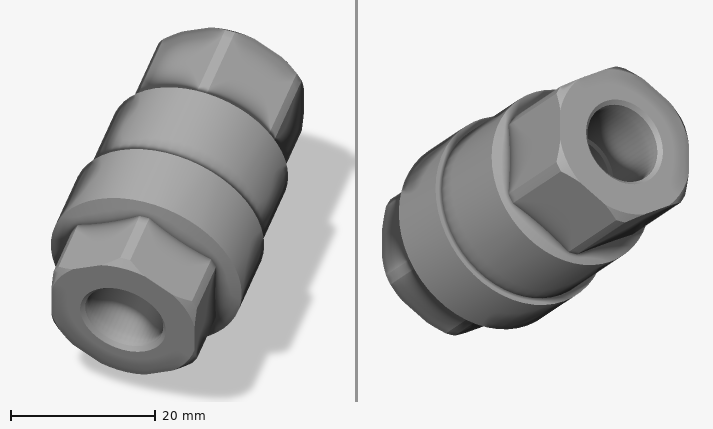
import cadquery as cq
import math

length = 46.5
front_y = -length / 2
back_y = length / 2

collar_diameter = 28.0
barrel_diameter = 26.0
front_hex_length = 9.9
back_hex_length = 13.95
collar_length = 9.6
shoulder_angle = 18.5

across_flats = 21.0
across_corners = 23.5
end_face_diameter = 21.55
end_chamfer = (across_corners - end_face_diameter) / 2

through_diameter = 10.0
socket_diameter = 11.45
socket_depth = 12.0
mouth_diameter = 12.55
mouth_chamfer = (mouth_diameter - socket_diameter) / 2


def revolve_profile(points):
    """Turn (radius, y) points about the Y axis."""
    return cq.Workplane("XY").polyline(points).close().revolve(360, (0, 0, 0), (0, 1, 0))


def make_hex_bar():
    """Full-length hexagon with corners turned down and both ends chamfered."""
    sharp_corners = across_flats / math.cos(math.radians(30))
    hexagon = (
        cq.Workplane("XZ", origin=(0, back_y, 0))
        .transformed(rotate=(0, 0, 90))
        .polygon(6, sharp_corners)
        .extrude(length)
    )
    corner_radius = across_corners / 2
    face_radius = end_face_diameter / 2
    envelope = revolve_profile([
        (0, front_y),
        (face_radius, front_y),
        (corner_radius, front_y + end_chamfer),
        (corner_radius, back_y - end_chamfer),
        (face_radius, back_y),
        (0, back_y),
    ])
    return hexagon.intersect(envelope)


def make_body():
    """Collar and barrel with conical shoulders that run into the hex flats."""
    inner_radius = across_flats / 2
    collar_radius = collar_diameter / 2
    barrel_radius = barrel_diameter / 2
    slope = math.tan(math.radians(shoulder_angle))
    collar_front = front_y + front_hex_length
    collar_back = collar_front + collar_length
    barrel_back = back_y - back_hex_length
    front_cone = (collar_radius - inner_radius) * slope
    back_cone = (barrel_radius - inner_radius) * slope
    return revolve_profile([
        (0, collar_front - front_cone),
        (inner_radius, collar_front - front_cone),
        (collar_radius, collar_front),
        (collar_radius, collar_back),
        (barrel_radius, collar_back),
        (barrel_radius, barrel_back),
        (inner_radius, barrel_back + back_cone),
        (0, barrel_back + back_cone),
    ])


def make_bore():
    """Through hole with a wider, chamfered socket at each end."""
    through_radius = through_diameter / 2
    socket_radius = socket_diameter / 2
    mouth_radius = mouth_diameter / 2
    return revolve_profile([
        (0, front_y),
        (mouth_radius, front_y),
        (socket_radius, front_y + mouth_chamfer),
        (socket_radius, front_y + socket_depth),
        (through_radius, front_y + socket_depth),
        (through_radius, back_y - socket_depth),
        (socket_radius, back_y - socket_depth),
        (socket_radius, back_y - mouth_chamfer),
        (mouth_radius, back_y),
        (0, back_y),
    ])


result = make_hex_bar().union(make_body()).cut(make_bore())